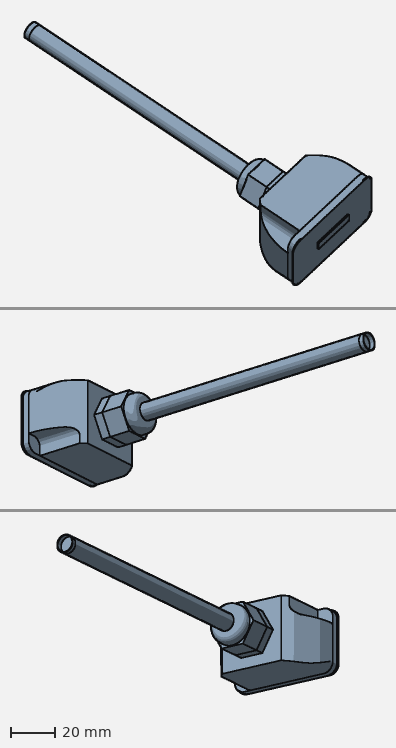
import cadquery as cq
import math

sheath_radius = 4.3
sheath_wall = 0.4
tip_recess = 2.7
core_radius = sheath_radius - sheath_wall

total_length = 179.1
dome_start = 128.5
nut_hex_start = 133.5
gland_start = 144.4
housing_start = 149.0
cover_start = 174.6
rim_start = 177.8
badge_start = 178.4

hex_corner_radius = 11.6
hex_sides = 6
dome_radius = 9.7
dome_fillet = 3.0

head_height = 31.2
head_width = 53.7
rim_width = 55.2
head_corner_radius = 5.0
front_face_width = 32.2

pocket_inner_y = 18.6
pocket_floor_z = 7.3
pocket_corner_radius = 4.3

badge_width = 21.3
badge_height = 4.3


def cylinder_x(radius, start, end):
    """Solid cylinder along the X axis."""
    return cq.Workplane("YZ").workplane(offset=start).circle(radius).extrude(end - start)


def hexagon_x(start, end):
    """Hexagonal bar along X with corners on +Y and -Y and flats on top and bottom."""
    profile = cq.Workplane("YZ").workplane(offset=start).polygon(hex_sides, 2 * hex_corner_radius)
    return profile.extrude(end - start)


def block_x(width, height, start, end):
    """Rectangular block centred on the X axis."""
    return cq.Workplane("YZ").workplane(offset=start).rect(width, height).extrude(end - start)


def rounded_block_x(width, start, end):
    """Block of the full head height with its four X edges rounded."""
    return block_x(width, head_height, start, end).edges("|X").fillet(head_corner_radius)


def make_sheath():
    outer = cylinder_x(sheath_radius, 0, housing_start)
    return outer.cut(cylinder_x(core_radius, 0, housing_start))


def make_core():
    return cylinder_x(core_radius, tip_recess, housing_start)


def make_dome_nut():
    dome = cylinder_x(dome_radius, dome_start, nut_hex_start)
    dome = dome.faces("<X").edges().fillet(dome_fillet)
    nut = dome.union(hexagon_x(nut_hex_start, gland_start))
    return nut.cut(cylinder_x(sheath_radius, dome_start, gland_start))


def make_gland_body():
    gland = hexagon_x(gland_start, housing_start)
    return gland.cut(cylinder_x(sheath_radius, gland_start, housing_start))


def make_plan_body():
    """Housing outline: a flat front and two arcs that end parallel to X at the cover."""
    depth = cover_start - housing_start
    front_y = front_face_width / 2
    side_y = head_width / 2
    flare = side_y - front_y
    arc_radius = (depth**2 + flare**2) / (2 * flare)
    half_angle = math.asin(depth / arc_radius) / 2
    middle_x = cover_start - arc_radius * math.sin(half_angle)
    middle_y = side_y - arc_radius * (1 - math.cos(half_angle))
    return (
        cq.Workplane("XY")
        .workplane(offset=-head_height / 2)
        .moveTo(housing_start, -front_y)
        .threePointArc((middle_x, -middle_y), (cover_start, -side_y))
        .lineTo(cover_start, side_y)
        .threePointArc((middle_x, middle_y), (housing_start, front_y))
        .close()
        .extrude(head_height)
    )


def make_screw_pocket():
    """Cutter for the -Y, +Z corner; it reaches past the housing on its open sides."""
    pocket = cq.Workplane("XY").box(
        cover_start - housing_start,
        head_width / 2,
        head_height / 2,
        centered=False,
    )
    pocket = pocket.translate((housing_start, -pocket_inner_y - head_width / 2, pocket_floor_z))
    return pocket.edges("|X and >Y and <Z").fillet(pocket_corner_radius)


def make_housing():
    housing = make_plan_body().intersect(rounded_block_x(head_width, housing_start, cover_start))
    for turn in (0, 180):
        housing = housing.cut(make_screw_pocket().rotate((0, 0, 0), (1, 0, 0), turn))
    return housing


def make_cover():
    plate = rounded_block_x(head_width, cover_start, rim_start)
    rim = rounded_block_x(rim_width, rim_start, badge_start)
    badge = block_x(badge_width, badge_height, badge_start, total_length)
    return plate.union(rim).union(badge)


sheath = make_sheath()
core = make_core()
dome_nut = make_dome_nut()
gland_body = make_gland_body()
housing = make_housing()
cover = make_cover()

result = cq.Compound.makeCompound(
    [
        sheath.val(),
        core.val(),
        dome_nut.val(),
        gland_body.val(),
        housing.val(),
        cover.val(),
    ]
)